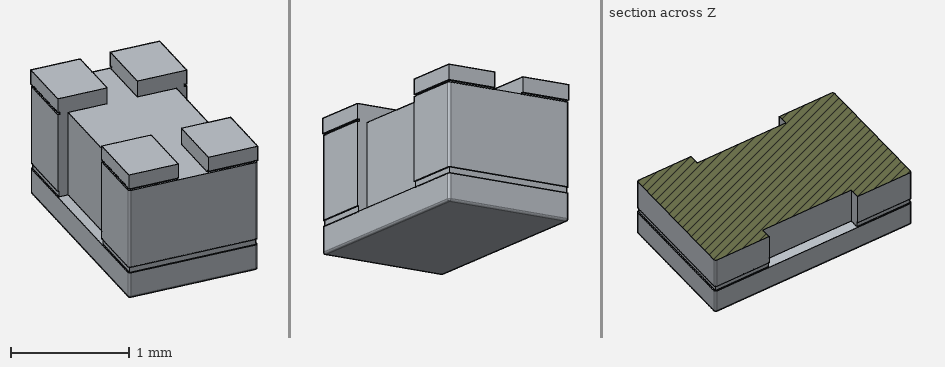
import cadquery as cq

length = 2.0
width = 1.2
height = 1.2

base_top = 0.245
body_bottom = 0.3
body_top = 1.045
pad_bottom = 1.065

edge_radius = 0.02
lower_groove_depth = 0.012
pad_neck_inset = 0.02

pad_length = 0.552
pad_width = 0.46
recess_depth = 0.095


def block(size_x, size_y, z_bottom, z_top):
    """Box centred on the Z axis between two levels."""
    box = cq.Workplane("XY").box(size_x, size_y, z_top - z_bottom, centered=(True, True, False))
    return box.translate((0, 0, z_bottom))


def corner_pads(inset, z_bottom, z_top):
    """Four corner boxes whose outer sides are set in from the outline."""
    size_x = pad_length - inset
    size_y = pad_width - inset
    center_x = length / 2 - pad_length + size_x / 2
    center_y = width / 2 - pad_width + size_y / 2
    centers = [(sx * center_x, sy * center_y) for sx in (-1, 1) for sy in (-1, 1)]
    return (
        cq.Workplane("XY", origin=(0, 0, z_bottom))
        .pushPoints(centers)
        .rect(size_x, size_y)
        .extrude(z_top - z_bottom)
    )


base = block(length, width, 0, base_top).edges("|Z or <Z").fillet(edge_radius)

body = block(length, width, body_bottom, body_top).edges("|Z").fillet(edge_radius)
neck = block(
    length - 2 * lower_groove_depth,
    width - 2 * lower_groove_depth,
    base_top,
    body_bottom,
)
upper = body.union(neck)

recess_length = length - 2 * pad_length
for side in (-1, 1):
    recess = block(recess_length, 2 * recess_depth, base_top, body_top)
    upper = upper.cut(recess.translate((0, side * width / 2, 0)))

pad_necks = corner_pads(pad_neck_inset, body_top, pad_bottom)
pads = corner_pads(0, pad_bottom, height)

result = base.union(upper).union(pad_necks).union(pads)